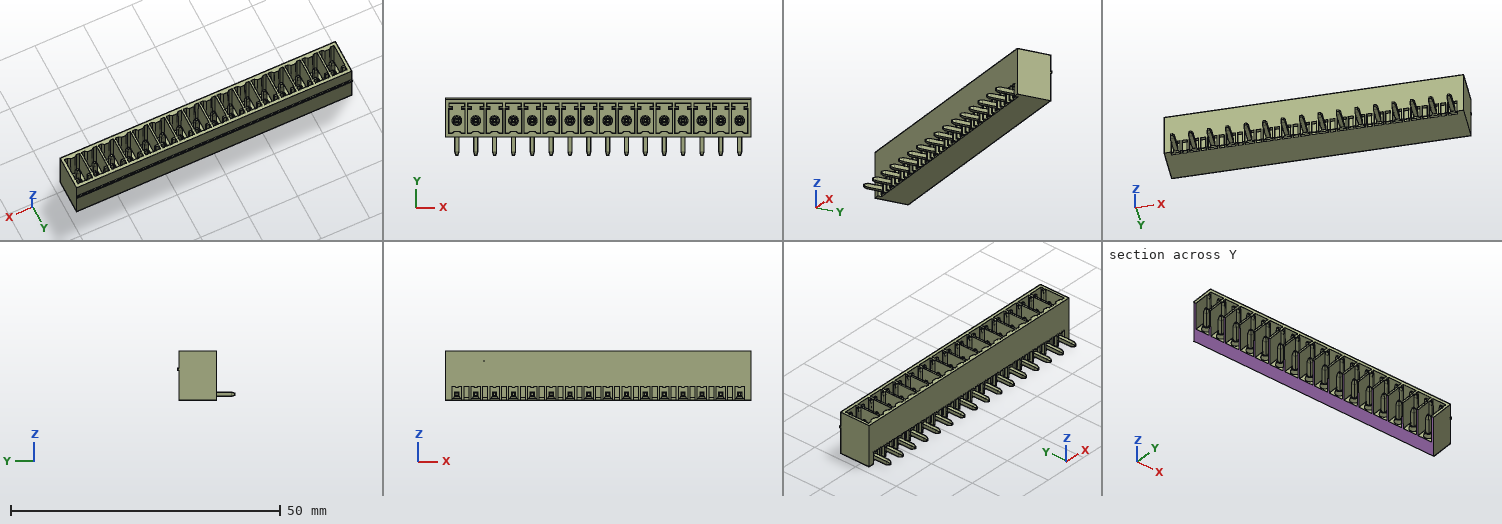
import cadquery as cq
import math

POSITIONS = 16
PITCH = 3.5

BODY_LENGTH = 56.8
BODY_DEPTH = 7.0
BODY_HEIGHT = 9.2

RIDGE_REACH = 0.25
RIDGE_HEIGHT = 0.4
RIDGE_Z = 5.8

CAVITY_WIDTH = 3.1
CAVITY_FLOOR = 3.2
CAVITY_FRONT = 0.65
CAVITY_BACK = 6.3
KEY_FRONT = 5.15
KEY_BACK = 5.6
KEY_GAP = 1.75
KEY_SLOT_WIDTH = 3.0
CAVITY_DRAFT = 0.5
KEY_BEVEL_DEPTH = 0.12
KEY_BEVEL_HEIGHT = 0.6

PAD_RISE = 0.35
PAD_BASE = 1.8
PAD_TOP = 0.9

PIN_SIZE = 0.8
PIN_Y = 3.05
TAIL_Z = 1.14
TAIL_REACH = 3.4
TAIL_TIP = 0.65
TAIL_TIP_SIZE = 0.4
POST_TOP = 8.0
POST_TIP = 0.8
POST_TIP_SIZE = 0.4
COLLAR_DIAMETER = 1.8
COLLAR_TOP_DIAMETER = 1.3
COLLAR_HEIGHT = 0.8

OPENING_HEIGHT = 2.6
PIN_OPENING_WIDTH = 1.75
SLOT_WIDTH = 0.95
OPENING_DEPTH = 0.6

UNDERCUT_DEPTH = 0.75
PIN_UNDERCUT_HEIGHT = 0.4
SLOT_UNDERCUT_HEIGHT = 0.5
TAIL_BEVEL_RISE = 0.3
TAIL_BEVEL_BASE = 1.3
TAIL_BEVEL_TOP = 0.9
LIP_DROP = 0.2
LIP_BASE = 0.7
LIP_TIP = 0.4

pin_xs = [(i - (POSITIONS - 1) / 2) * PITCH for i in range(POSITIONS)]
slot_xs = [x + PITCH / 2 for x in pin_xs[:-1]]


def block(width, y_front, y_back, z_low, z_high):
    """Box centred on X = 0 between the given Y and Z limits."""
    box = cq.Workplane("XY").box(width, y_back - y_front, z_high - z_low, centered=(True, False, False))
    return box.translate((0, y_front, z_low))


def repeated(shape, xs):
    """Compound of copies of a shape placed along X."""
    return cq.Workplane(cq.Compound.makeCompound([shape.val().translate(cq.Vector(x, 0, 0)) for x in xs]))


def make_body():
    body = block(BODY_LENGTH, 0, BODY_DEPTH, 0, BODY_HEIGHT)
    ridge_low = RIDGE_Z - RIDGE_HEIGHT / 2
    ridge = block(BODY_LENGTH, BODY_DEPTH, BODY_DEPTH + RIDGE_REACH, ridge_low, ridge_low + RIDGE_HEIGHT)
    return body.union(ridge)


def make_cavity():
    """Drafted cavity with a T-shaped keyway behind it and a pad on its front wall."""
    right_side = [
        (PAD_TOP / 2, CAVITY_FRONT + PAD_RISE),
        (PAD_BASE / 2, CAVITY_FRONT),
        (CAVITY_WIDTH / 2, CAVITY_FRONT),
        (CAVITY_WIDTH / 2, KEY_FRONT),
        (KEY_GAP / 2, KEY_FRONT),
        (KEY_GAP / 2, KEY_BACK),
        (KEY_SLOT_WIDTH / 2, KEY_BACK),
        (KEY_SLOT_WIDTH / 2, CAVITY_BACK),
    ]
    left_side = [(-x, y) for x, y in reversed(right_side)]
    outline = cq.Workplane("XY", origin=(0, 0, BODY_HEIGHT)).polyline(right_side + left_side).close()
    cavity = outline.extrude(CAVITY_FLOOR - BODY_HEIGHT, taper=CAVITY_DRAFT)

    bevel_foot_y = KEY_FRONT - KEY_BEVEL_HEIGHT * math.tan(math.radians(CAVITY_DRAFT))
    bevel_profile = [
        (KEY_FRONT, BODY_HEIGHT),
        (KEY_FRONT + KEY_BEVEL_DEPTH, BODY_HEIGHT),
        (bevel_foot_y, BODY_HEIGHT - KEY_BEVEL_HEIGHT),
    ]
    bevel = cq.Workplane("YZ").polyline(bevel_profile).close().extrude(CAVITY_WIDTH / 2, both=True)
    return cavity.union(bevel)


def make_opening(width, undercut_height):
    """Shallow opening in the front face that steps deeper at its foot."""
    opening = block(width, 0, OPENING_DEPTH, 0, OPENING_HEIGHT)
    return opening.union(block(width, 0, UNDERCUT_DEPTH, 0, undercut_height))


def make_pin_opening():
    """Opening for a tail, with a lip on its ceiling and a bevel below the tail."""
    opening = make_opening(PIN_OPENING_WIDTH, PIN_UNDERCUT_HEIGHT)
    lip = (
        cq.Workplane("XZ")
        .moveTo(-LIP_BASE / 2, OPENING_HEIGHT)
        .lineTo(-LIP_TIP / 2, OPENING_HEIGHT - LIP_DROP)
        .lineTo(LIP_TIP / 2, OPENING_HEIGHT - LIP_DROP)
        .lineTo(LIP_BASE / 2, OPENING_HEIGHT)
        .close()
        .extrude(-OPENING_DEPTH)
    )
    bevel_top = PIN_UNDERCUT_HEIGHT + TAIL_BEVEL_RISE
    bevel_profile = [
        (0, PIN_UNDERCUT_HEIGHT),
        (UNDERCUT_DEPTH, PIN_UNDERCUT_HEIGHT),
        (OPENING_DEPTH, bevel_top),
        (0, bevel_top),
    ]
    bevel = cq.Workplane("YZ").polyline(bevel_profile).close().extrude(TAIL_BEVEL_BASE / 2, both=True)
    bevel_outline = [
        (-TAIL_BEVEL_BASE / 2, PIN_UNDERCUT_HEIGHT),
        (TAIL_BEVEL_BASE / 2, PIN_UNDERCUT_HEIGHT),
        (TAIL_BEVEL_TOP / 2, bevel_top),
        (-TAIL_BEVEL_TOP / 2, bevel_top),
    ]
    bevel_limit = cq.Workplane("XZ").polyline(bevel_outline).close().extrude(-UNDERCUT_DEPTH)
    return opening.cut(lip).union(bevel.intersect(bevel_limit))


def square_bar(workplane, length, tip_length, tip_size):
    """Square bar along the workplane normal, ending in a tapered tip."""
    bar = workplane.rect(PIN_SIZE, PIN_SIZE).extrude(length - tip_length)
    tip = (
        workplane.workplane(offset=length - tip_length)
        .rect(PIN_SIZE, PIN_SIZE)
        .workplane(offset=tip_length)
        .rect(tip_size, tip_size)
        .loft(ruled=True)
    )
    return bar.union(tip)


def make_pin():
    post_base = TAIL_Z - PIN_SIZE / 2
    tail_base = PIN_Y + PIN_SIZE / 2
    post = square_bar(
        cq.Workplane("XY", origin=(0, PIN_Y, post_base)), POST_TOP - post_base, POST_TIP, POST_TIP_SIZE
    )
    tail = square_bar(
        cq.Workplane("XZ", origin=(0, tail_base, TAIL_Z)), tail_base + TAIL_REACH, TAIL_TIP, TAIL_TIP_SIZE
    )
    collar = (
        cq.Workplane("XY", origin=(0, PIN_Y, CAVITY_FLOOR))
        .circle(COLLAR_DIAMETER / 2)
        .workplane(offset=COLLAR_HEIGHT)
        .circle(COLLAR_TOP_DIAMETER / 2)
        .loft()
    )
    return post.union(tail).union(collar)


body = make_body()
body = body.cut(repeated(make_cavity(), pin_xs))
body = body.cut(repeated(make_pin_opening(), pin_xs))
body = body.cut(repeated(make_opening(SLOT_WIDTH, SLOT_UNDERCUT_HEIGHT), slot_xs))
result = body.union(repeated(make_pin(), pin_xs))